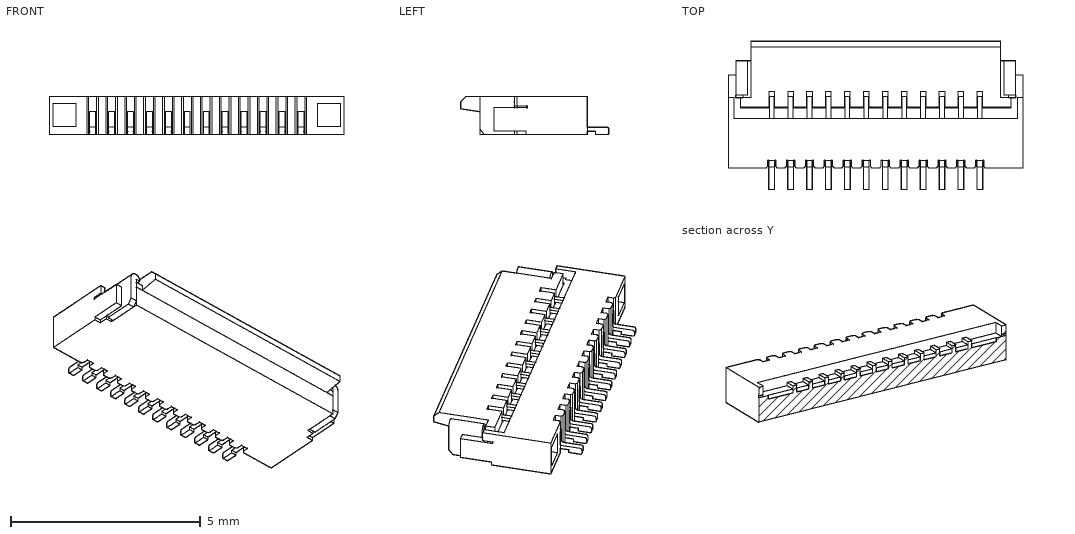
import cadquery as cq


LENGTH = 7.78
HEIGHT = 1.01
FRONT_DEPTH = 1.315
BASE_DEPTH = 2.84
BASE_TOP = 0.6

CONTACT_COUNT = 12
CONTACT_SPAN = 5.5
CONTACT_PITCH = CONTACT_SPAN / (CONTACT_COUNT - 1)
CONTACT_XS = [i * CONTACT_PITCH - CONTACT_SPAN / 2 for i in range(CONTACT_COUNT)]
TAIL_WIDTH = 0.155
TAIL_REACH = 0.57
TAIL_TOP = 0.195
TAIL_UNDERSIDE = 0.085
FOOT_LENGTH = 0.36
STEM_FRONT = 0.03
STEM_TOP = 0.61
BEND_RADIUS = 0.055
TIP_LOWER_RADIUS = 0.04
BLADE_WIDTH = 0.125
BLADE_END = 1.9
BLADE_TOP = 0.8

NOTCH_WIDTH = 0.21
NOTCH_DEPTH = 0.2
NOTCH_CHAMFER = 0.05
SOCKET_SIZE = 0.61
SOCKET_MARGIN = 0.09
SOCKET_FLOOR = 0.21
SOCKET_DEPTH = 0.5

WALL_DEPTH = 2.47
WALL_THICKNESS = 0.195
WALL_TOP = 0.71
WALL_BOTTOM = 0.09
UNDERCUT_START = 1.625
PIT_START = 1.59
SLIT_TOP = 0.755
RECESS_HALF = 3.74
RECESS_END = 1.86

TAB_OUTER = LENGTH / 2 - WALL_THICKNESS
TAB_THICKNESS = 0.19
TAB_INNER = TAB_OUTER - TAB_THICKNESS
TAB_FRONT = 1.93
TAB_BEAD_RADIUS = 0.155
TAB_CHAMFER_Y = 0.12
TAB_CHAMFER_Z = 0.14

ACTUATOR_HALF = 3.3
EAR_HALF = 3.58
SHELF_TOP = 0.755
ACTUATOR_FRONT = 1.61
ACTUATOR_REAR = 3.35
LIP_BOTTOM = 0.68
LIP_CHAMFER = 0.15
SLOT_WIDTH = 0.15
SLOT_END = 2.02


def block(x0, x1, y0, y1, z0, z1):
    """Box between two opposite corners."""
    return cq.Workplane("XY").box(x1 - x0, y1 - y0, z1 - z0, centered=False).translate((x0, y0, z0))


def across_x(points, half_width):
    """Prism along X, centred on X = 0, from a (Y, Z) outline."""
    return cq.Workplane("YZ").polyline(points).close().extrude(half_width, both=True)


def both_ends(shape):
    """A shape at the +X end together with its mirror image."""
    return shape.union(shape.mirror("YZ"))


def front_notch(x):
    """Full-height notch in the front face with flared corners."""
    half = NOTCH_WIDTH / 2
    flare = half + NOTCH_CHAMFER
    outline = [
        (x - flare, 0),
        (x - half, NOTCH_CHAMFER),
        (x - half, NOTCH_DEPTH),
        (x + half, NOTCH_DEPTH),
        (x + half, NOTCH_CHAMFER),
        (x + flare, 0),
    ]
    return cq.Workplane("XY").polyline(outline).close().extrude(HEIGHT)


def contact(x):
    """Upright stem in the notch, bent into a tail whose foot rests on the board."""
    foot_heel = FOOT_LENGTH - TAIL_REACH
    return (
        cq.Workplane("YZ")
        .moveTo(NOTCH_DEPTH, TAIL_UNDERSIDE)
        .lineTo(foot_heel, TAIL_UNDERSIDE)
        .lineTo(foot_heel, 0)
        .lineTo(TIP_LOWER_RADIUS - TAIL_REACH, 0)
        .radiusArc((-TAIL_REACH, TIP_LOWER_RADIUS), TIP_LOWER_RADIUS)
        .lineTo(-TAIL_REACH, TAIL_TOP - BEND_RADIUS)
        .radiusArc((BEND_RADIUS - TAIL_REACH, TAIL_TOP), BEND_RADIUS)
        .lineTo(STEM_FRONT - BEND_RADIUS, TAIL_TOP)
        .radiusArc((STEM_FRONT, TAIL_TOP + BEND_RADIUS), -BEND_RADIUS)
        .lineTo(STEM_FRONT, STEM_TOP)
        .lineTo(NOTCH_DEPTH, STEM_TOP)
        .close()
        .extrude(TAIL_WIDTH / 2, both=True)
        .translate((x, 0, 0))
    )


def contact_blade(x):
    """Flat end of a contact, standing on the base behind the front block."""
    half = BLADE_WIDTH / 2
    return block(x - half, x + half, FRONT_DEPTH, BLADE_END, BASE_TOP, BLADE_TOP)


def make_housing():
    half = LENGTH / 2
    body = block(-half, half, 0, RECESS_END, 0, HEIGHT)
    body = body.union(block(-TAB_INNER, TAB_INNER, 0, BASE_DEPTH, 0, BASE_TOP))
    body = body.cut(block(-RECESS_HALF, RECESS_HALF, FRONT_DEPTH, RECESS_END, WALL_TOP, HEIGHT))
    body = body.cut(block(-EAR_HALF, EAR_HALF, PIT_START, RECESS_END, BASE_TOP, HEIGHT))

    body = body.union(both_ends(block(TAB_OUTER, half, RECESS_END, WALL_DEPTH, WALL_BOTTOM, WALL_TOP)))
    body = body.cut(both_ends(block(TAB_OUTER, half, UNDERCUT_START, WALL_DEPTH, 0, WALL_BOTTOM)))
    body = body.cut(both_ends(block(TAB_OUTER, half, PIT_START, RECESS_END, WALL_TOP, SLIT_TOP)))

    socket_outer = half - SOCKET_MARGIN
    socket = block(
        socket_outer - SOCKET_SIZE, socket_outer, 0, SOCKET_DEPTH, SOCKET_FLOOR, SOCKET_FLOOR + SOCKET_SIZE
    )
    body = body.cut(both_ends(socket))

    for x in CONTACT_XS:
        body = body.cut(front_notch(x)).union(contact(x)).union(contact_blade(x))
    return body


def make_actuator():
    """Cover plate with two ears, side shelves, a sloping rear lip and a slot over each contact."""
    plate = across_x(
        [
            (RECESS_END, BASE_TOP),
            (BASE_DEPTH, BASE_TOP),
            (ACTUATOR_REAR, LIP_BOTTOM),
            (ACTUATOR_REAR, HEIGHT - LIP_CHAMFER),
            (ACTUATOR_REAR - LIP_CHAMFER, HEIGHT),
            (RECESS_END, HEIGHT),
        ],
        ACTUATOR_HALF,
    )
    ears = block(-EAR_HALF, EAR_HALF, ACTUATOR_FRONT, RECESS_END, BASE_TOP, HEIGHT)
    shelves = block(-TAB_INNER, TAB_INNER, RECESS_END, BASE_DEPTH, BASE_TOP, SHELF_TOP)
    body = plate.union(ears).union(shelves)
    half = SLOT_WIDTH / 2
    for x in CONTACT_XS:
        body = body.cut(block(x - half, x + half, ACTUATOR_FRONT, SLOT_END, BASE_TOP, HEIGHT))
    return body


def make_tab(side):
    """Upright plate with a half-round bead on top that overhangs the base; side is -1 or 1."""
    bead_z = HEIGHT - TAB_BEAD_RADIUS
    bead_crest = TAB_OUTER - TAB_BEAD_RADIUS
    bead_inner = TAB_OUTER - 2 * TAB_BEAD_RADIUS
    body = (
        cq.Workplane("XZ", origin=(0, BASE_DEPTH, 0))
        .moveTo(side * TAB_OUTER, 0)
        .lineTo(side * TAB_OUTER, bead_z)
        .radiusArc((side * bead_crest, HEIGHT), -side * TAB_BEAD_RADIUS)
        .radiusArc((side * bead_inner, bead_z), -side * TAB_BEAD_RADIUS)
        .lineTo(side * TAB_INNER, bead_z)
        .lineTo(side * TAB_INNER, 0)
        .close()
        .extrude(BASE_DEPTH - TAB_FRONT)
    )
    rear_corner = across_x(
        [(BASE_DEPTH, 0), (BASE_DEPTH, TAB_CHAMFER_Z), (BASE_DEPTH - TAB_CHAMFER_Y, 0)],
        LENGTH / 2,
    )
    return body.cut(rear_corner)


housing = make_housing()
actuator = make_actuator()
tabs = [make_tab(side) for side in (-1, 1)]

result = cq.Compound.makeCompound([housing.val(), actuator.val(), *[tab.val() for tab in tabs]])